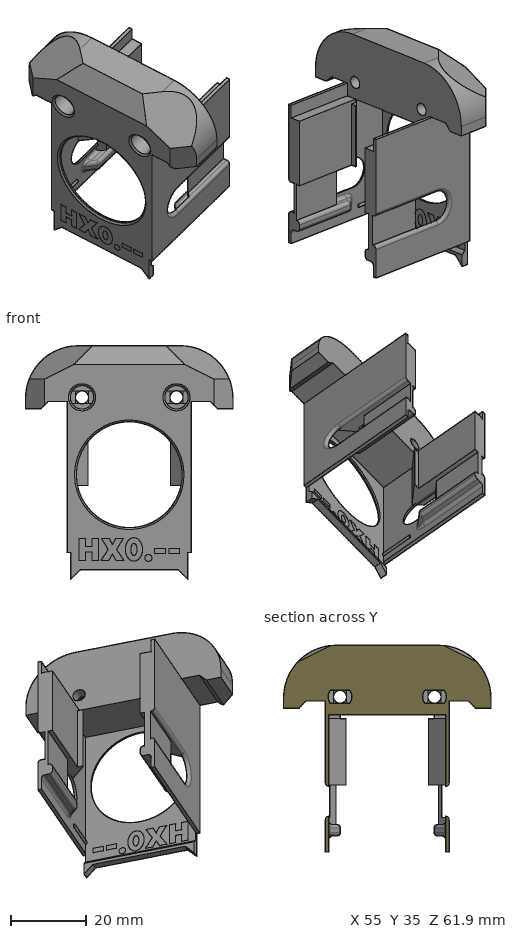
import cadquery as cq
import math


margin = 0.3

height = 61.9
depth = 35.0
wall = 1.0

body_width = 32.95
body_bottom = 7.1
body_top = 47.1
inner_half = body_width / 2 - wall

skirt_half = 15.55
skirt_notch = 2.55
tooth_thickness = 2.0
tooth_top = 3.4

cap_width = 55.0
cap_depth = 14.1
cap_radius = 14.0
cap_bottom = 45.2
cap_core_bottom = 43.45
cap_chamfer = 5.0
wing_recess_half = 21.5
corner_facet_run = 14.75

bore_z = 27.75
bore_diameter = 28.0
rim_chamfer = 0.5
screw_x = 12.5
screw_z = 48.2
screw_diameter = 3.4
screw_head_diameter = 6.2
screw_head_depth = 9.9
bridge_step = 0.3

slot_z = 20.55
slot_radius = 4.3
slot_centre_y = 11.95
slot_rounding = 0.9
slot_top = slot_z + slot_radius
slot_bottom = slot_z - slot_radius

pad_width = 3.1
hook_back = 15.6
hook_tip = 0.3
hook_reach = 4.6
hook_top = 42.5
panel_thickness = 1.9
panel_front = 19.05
left_panel_relief = 0.25
right_panel_relief = 1.0
rail_top = 14.4
rail_height = 3.1
rail_front = 12.7
rail_rounding = 1.0
bump_radius = 0.5
bump_z = 10.4
bump_back = 10.15

text_bottom = 5.0
text_top = 10.9
letter_h_left = -13.4
letter_h_width = 5.2
letter_h_stem = 1.75
letter_h_bar = 1.5
letter_x_centre = -4.45
letter_x_top = 2.9
letter_x_foot = 3.05
letter_x_waist = 1.1
letter_x_crotch = 1.25
letter_x_stroke = 2.05
zero_x = 1.25
zero_half_width = 2.3
zero_half_height = 3.1
zero_island_half_width = 0.8
zero_island_half_height = 1.6
dot_x = 5.1
dot_z = 5.7
dot_diameter = 1.85
dash_lefts = [6.75, 10.45]
dash_width = 2.85
dash_height = 1.35
dash_z = 7.55


def box(x0, x1, y0, y1, z0, z1):
    return cq.Workplane("XY").box(x1 - x0, y1 - y0, z1 - z0, centered=False).translate((x0, y0, z0))


def front_plane(y):
    """Plane facing the front at depth y; sketches use X and Z, and extrude() goes toward -Y."""
    return cq.Workplane("XZ", origin=(0, y, 0))


def mirrored(solid):
    """The solid together with its mirror image on the other side of the part."""
    return solid.union(solid.mirror("YZ"))


def make_cap():
    """Rounded block with chamfered front edges and two sloping corner facets."""
    half = cap_width / 2
    flat = half - cap_radius
    shoulder = height - cap_radius
    bend = cap_radius * math.sqrt(0.5)
    wing_drop = body_top - cap_bottom
    cap = (
        front_plane(cap_depth)
        .moveTo(-half, cap_bottom)
        .lineTo(-half, shoulder)
        .threePointArc((-flat - bend, shoulder + bend), (-flat, height))
        .lineTo(flat, height)
        .threePointArc((flat + bend, shoulder + bend), (half, shoulder))
        .lineTo(half, cap_bottom)
        .lineTo(wing_recess_half + wing_drop, cap_bottom)
        .lineTo(wing_recess_half, body_top)
        .lineTo(-wing_recess_half, body_top)
        .lineTo(-wing_recess_half - wing_drop, cap_bottom)
        .close()
        .extrude(cap_depth)
    )
    core = box(-inner_half, inner_half, 0, cap_depth, cap_core_bottom, body_top)
    top_chamfer = (
        cq.Workplane("YZ", origin=(-half, 0, 0))
        .polyline([(0, height - cap_chamfer), (0, height), (cap_chamfer, height)])
        .close()
        .extrude(cap_width)
    )
    side_chamfer = (
        cq.Workplane("XY", origin=(0, 0, cap_bottom))
        .polyline([(half - cap_chamfer, 0), (half, 0), (half, cap_chamfer)])
        .close()
        .extrude(height - cap_bottom)
    )
    facet_point = (corner_facet_run, 0, height - cap_chamfer)
    facet_plane = cq.Plane(origin=facet_point, xDir=(1, 1, 0), normal=(1, -1, 2))
    corner_facet = cq.Workplane(facet_plane).rect(2 * height, 2 * height).extrude(height)
    cap = cap.cut(top_chamfer)
    cap = cap.cut(mirrored(side_chamfer))
    cap = cap.cut(corner_facet).cut(corner_facet.mirror("YZ"))
    return cap.union(core)


def make_front_plate():
    """Plate with a narrower skirt that ends in two pointed corners and carries a tooth behind."""
    upper = box(-body_width / 2, body_width / 2, 0, wall, body_bottom, body_top)
    tooth_ramp = tooth_thickness - wall
    skirt = (
        cq.Workplane("YZ", origin=(-skirt_half, 0, 0))
        .polyline([
            (0, 0),
            (tooth_thickness, 0),
            (tooth_thickness, tooth_top),
            (wall, tooth_top + tooth_ramp),
            (wall, body_bottom),
            (0, body_bottom),
        ])
        .close()
        .extrude(2 * skirt_half)
    )
    notch = (
        front_plane(tooth_thickness)
        .polyline([
            (-skirt_half, 0),
            (-skirt_half + skirt_notch, skirt_notch),
            (skirt_half - skirt_notch, skirt_notch),
            (skirt_half, 0),
        ])
        .close()
        .extrude(tooth_thickness)
    )
    return upper.union(skirt.cut(notch))


def make_side_wall():
    """Right side wall with a rear-open slot whose outer edge is rounded."""
    side = box(inner_half, body_width / 2, 0, depth, body_bottom, body_top)
    side = side.cut(slot_cutter(inner_half, body_width / 2))
    edge_box = cq.selectors.BoxSelector(
        (body_width / 2 - margin, wall, slot_bottom - margin),
        (body_width / 2 + margin, depth - margin, slot_top + margin),
    )
    return side.edges(edge_box).fillet(slot_rounding)


def slot_cutter(x0, x1):
    round_end = (
        cq.Workplane("YZ", origin=(x0, 0, 0)).center(slot_centre_y, slot_z).circle(slot_radius).extrude(x1 - x0)
    )
    return round_end.union(box(x0, x1, slot_centre_y, depth, slot_bottom, slot_top))


def plan_prism(points, z0, z1):
    return cq.Workplane("XY", origin=(0, 0, z0)).polyline(points).close().extrude(z1 - z0)


def make_pad_and_hook():
    """Thick pad above the slot, and the hook with a 45 degree front that stands beside it."""
    pad = box(inner_half - pad_width, inner_half, cap_depth, depth, slot_top, cap_core_bottom)
    hook_front = hook_back - hook_tip - hook_reach
    hook = plan_prism(
        [
            (inner_half, hook_front),
            (inner_half - hook_reach, hook_back - hook_tip),
            (inner_half - hook_reach, hook_back),
            (inner_half, hook_back),
        ],
        slot_top,
        hook_top,
    )
    return pad.union(hook)


def make_panel(relief):
    """Panel behind the slot with a 45 degree front, set back from the wall where the slot passes."""
    toe = panel_front - relief
    panel = plan_prism(
        [
            (inner_half, toe),
            (inner_half - panel_thickness, toe + panel_thickness),
            (inner_half - panel_thickness, depth),
            (inner_half, depth),
        ],
        rail_top,
        slot_top,
    )
    return panel.cut(slot_cutter(inner_half - relief, inner_half))


def add_rail(side):
    """Side wall with a rounded, 45 degree nosed rail below the slot, blended into the wall."""
    rail_bottom = rail_top - rail_height
    rail = plan_prism(
        [
            (inner_half, rail_front),
            (inner_half - pad_width, rail_front + pad_width),
            (inner_half - pad_width, depth),
            (inner_half, depth),
        ],
        rail_bottom,
        rail_top,
    )
    free_edges = cq.selectors.BoxSelector((0, 0, 0), (inner_half - margin, depth - margin, height))
    rail = rail.edges(free_edges).fillet(rail_rounding)
    root_edges = cq.selectors.BoxSelector(
        (inner_half - margin, rail_front - margin, rail_bottom - margin),
        (inner_half + margin, depth - margin, rail_top + margin),
    )
    return side.union(rail).edges(root_edges).fillet(rail_rounding)


def make_bump():
    """Half-round bump on the wall, running back from the front plate."""
    return front_plane(bump_back).center(inner_half, bump_z).circle(bump_radius).extrude(bump_back - wall)


def front_rim(x, z, diameter):
    """45 degree conical cutter that chamfers the front rim of a round hole and ends inside the hole."""
    outer = diameter / 2 + rim_chamfer
    inner = diameter / 2 - rim_chamfer
    cone = cq.Solid.makeCone(
        outer, inner, outer - inner, pnt=cq.Vector(x, 0, z), dir=cq.Vector(0, 1, 0)
    )
    return cq.Workplane(cone)


def make_bore_cutters():
    bore = front_plane(wall).center(0, bore_z).circle(bore_diameter / 2).extrude(wall)
    return [bore, front_rim(0, bore_z, bore_diameter)]


def screw_plane(y):
    return front_plane(y).center(screw_x, screw_z)


def make_screw_cutters():
    """Right counterbored hole; its seat steps from a band to a square to the round hole."""
    band_back = screw_head_depth + bridge_step
    square_back = band_back + bridge_step
    head = screw_plane(screw_head_depth).circle(screw_head_diameter / 2).extrude(screw_head_depth)
    band = screw_plane(band_back).rect(screw_head_diameter, screw_diameter).extrude(bridge_step)
    band = band.intersect(screw_plane(band_back).circle(screw_head_diameter / 2).extrude(bridge_step))
    square = screw_plane(square_back).rect(screw_diameter, screw_diameter).extrude(bridge_step)
    hole = screw_plane(cap_depth).circle(screw_diameter / 2).extrude(cap_depth - square_back)
    rim = front_rim(screw_x, screw_z, screw_head_diameter)
    return [head, band, square, hole, rim]


def make_letter_h():
    left = letter_h_left
    right = left + letter_h_width
    middle = (text_bottom + text_top) / 2
    bar = box(left, right, 0, wall, middle - letter_h_bar / 2, middle + letter_h_bar / 2)
    stem = box(left, left + letter_h_stem, 0, wall, text_bottom, text_top)
    return bar.union(stem).union(stem.translate((letter_h_width - letter_h_stem, 0, 0)))


def make_letter_x():
    middle = (text_bottom + text_top) / 2
    right_side = [
        (0, middle + letter_x_crotch),
        (letter_x_top - letter_x_stroke, text_top),
        (letter_x_top, text_top),
        (letter_x_waist, middle),
        (letter_x_foot, text_bottom),
        (letter_x_foot - letter_x_stroke, text_bottom),
        (0, middle - letter_x_crotch),
    ]
    left_side = [(-x, z) for x, z in reversed(right_side[1:-1])]
    return front_plane(wall).center(letter_x_centre, 0).polyline(right_side + left_side).close().extrude(wall)


def make_zero_island():
    middle = (text_bottom + text_top) / 2
    return (
        front_plane(wall)
        .center(zero_x, middle)
        .ellipse(zero_island_half_width, zero_island_half_height)
        .extrude(wall)
    )


def make_zero():
    middle = (text_bottom + text_top) / 2
    outer = front_plane(wall).center(zero_x, middle).ellipse(zero_half_width, zero_half_height).extrude(wall)
    return outer.cut(make_zero_island())


def make_dot():
    return front_plane(wall).center(dot_x, dot_z).circle(dot_diameter / 2).extrude(wall)


def make_dash(left):
    return box(left, left + dash_width, 0, wall, dash_z - dash_height / 2, dash_z + dash_height / 2)


def make_side(panel_relief):
    """Right side of the body with everything on its inner face."""
    side = add_rail(make_side_wall())
    return side.union(make_pad_and_hook()).union(make_panel(panel_relief)).union(make_bump())


def make_housing(inlays):
    right_side = make_side(right_panel_relief)
    left_side = make_side(left_panel_relief).mirror("YZ")
    housing = make_cap().union(make_front_plate()).union(right_side).union(left_side)
    for cutter in make_bore_cutters():
        housing = housing.cut(cutter)
    for cutter in make_screw_cutters():
        housing = housing.cut(mirrored(cutter))
    for inlay in inlays:
        housing = housing.cut(inlay)
    return housing


letter_h = make_letter_h()
letter_x = make_letter_x()
zero = make_zero()
zero_island = make_zero_island()
dot = make_dot()
dashes = [make_dash(left) for left in dash_lefts]
inlays = [letter_h, letter_x, zero, zero_island, dot, *dashes]
housing = make_housing(inlays)

result = cq.Compound.makeCompound([housing.val(), *[inlay.val() for inlay in inlays]])